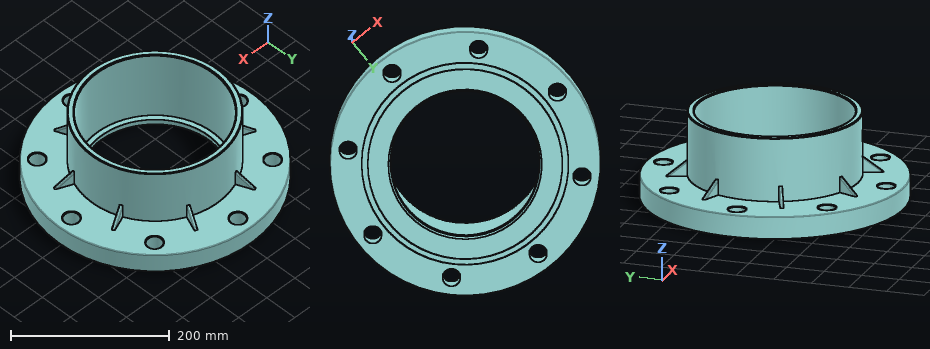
import cadquery as cq

total_height = 118.2
sealing_face_height = 2.0
step_height = 2.0
flange_bottom = sealing_face_height + step_height
flange_thickness = 30.0
flange_top = flange_bottom + flange_thickness

flange_diameter = 341.7
sealing_face_diameter = 245.3
step_diameter = 260.7
hub_diameter = 221.5
socket_diameter = 203.5
bore_diameter = 188.0

socket_floor = 11.3

flange_edge_radius = 1.0
rim_outer_chamfer = 1.0
rim_inner_chamfer = 1.5
bore_chamfer = 2.7

bolt_count = 8
bolt_pitch = 360 / bolt_count
bolt_hole_diameter = 22.2
bolt_circle_radius = 148.3
bolt_hole_chamfer = 1.0

rib_thickness = 4.5
rib_tip_radius = 137.0
rib_height = 20.5
rib_edge_radius = 1.0
rib_embed = 3.5
rib_root_radius = (hub_diameter + socket_diameter) / 4


def disc(diameter, bottom, top):
    """Solid cylinder about Z between two heights."""
    return cq.Workplane("XY").workplane(offset=bottom).circle(diameter / 2).extrude(top - bottom)


def cone(bottom_diameter, top_diameter, bottom, top):
    """Solid truncated cone about Z between two heights."""
    base = cq.Vector(0, 0, bottom)
    return cq.Workplane(cq.Solid.makeCone(bottom_diameter / 2, top_diameter / 2, top - bottom, base))


def make_body():
    """Flange with a stepped sealing face below and the hub above, still without openings."""
    flange = disc(flange_diameter, flange_bottom, flange_top).edges().fillet(flange_edge_radius)
    hub = disc(hub_diameter, flange_bottom, total_height).faces(">Z").edges().chamfer(rim_outer_chamfer)
    step = disc(step_diameter, sealing_face_height, flange_top)
    sealing_face = disc(sealing_face_diameter, 0, flange_top)
    return flange.union(step).union(sealing_face).union(hub)


def make_rib():
    """Triangular rib along +X with its slanted edges rounded, reaching into hub and flange."""
    hub_radius = hub_diameter / 2
    slope = rib_height / (rib_tip_radius - hub_radius)
    root_top = flange_top + slope * (rib_tip_radius - rib_root_radius)
    rib = (
        cq.Workplane("XZ")
        .moveTo(rib_root_radius, flange_top - rib_embed)
        .lineTo(rib_tip_radius + rib_embed / slope, flange_top - rib_embed)
        .lineTo(rib_root_radius, root_top)
        .close()
        .extrude(rib_thickness / 2, both=True)
    )
    slant = cq.selectors.DirectionMinMaxSelector(cq.Vector(slope, 0, 1), True)
    return rib.faces(slant).edges("not |Y").fillet(rib_edge_radius)


def add_ribs(body):
    """Join one rib midway between each pair of neighbouring bolt holes."""
    rib = make_rib()
    for i in range(bolt_count):
        body = body.union(rib.rotate((0, 0, 0), (0, 0, 1), (i + 0.5) * bolt_pitch))
    return body


def cut_socket(body):
    """Open the bore and the wider pipe socket, chamfered at the underside and at the rim."""
    bore = disc(bore_diameter, 0, total_height)
    bore_mouth = cone(bore_diameter + 2 * bore_chamfer, bore_diameter, 0, bore_chamfer)
    socket = disc(socket_diameter, socket_floor, total_height)
    lead_in = cone(
        socket_diameter,
        socket_diameter + 2 * rim_inner_chamfer,
        total_height - rim_inner_chamfer,
        total_height,
    )
    return body.cut(bore).cut(bore_mouth).cut(socket).cut(lead_in)


def cut_bolt_holes(body):
    """Ring of through holes, each with a chamfered upper edge."""
    hole = disc(bolt_hole_diameter, flange_bottom, flange_top)
    mouth = cone(
        bolt_hole_diameter,
        bolt_hole_diameter + 2 * bolt_hole_chamfer,
        flange_top - bolt_hole_chamfer,
        flange_top,
    )
    cutter = hole.union(mouth).translate((bolt_circle_radius, 0, 0))
    for i in range(bolt_count):
        body = body.cut(cutter.rotate((0, 0, 0), (0, 0, 1), i * bolt_pitch))
    return body


result = make_body()
result = add_ribs(result)
result = cut_socket(result)
result = cut_bolt_holes(result)